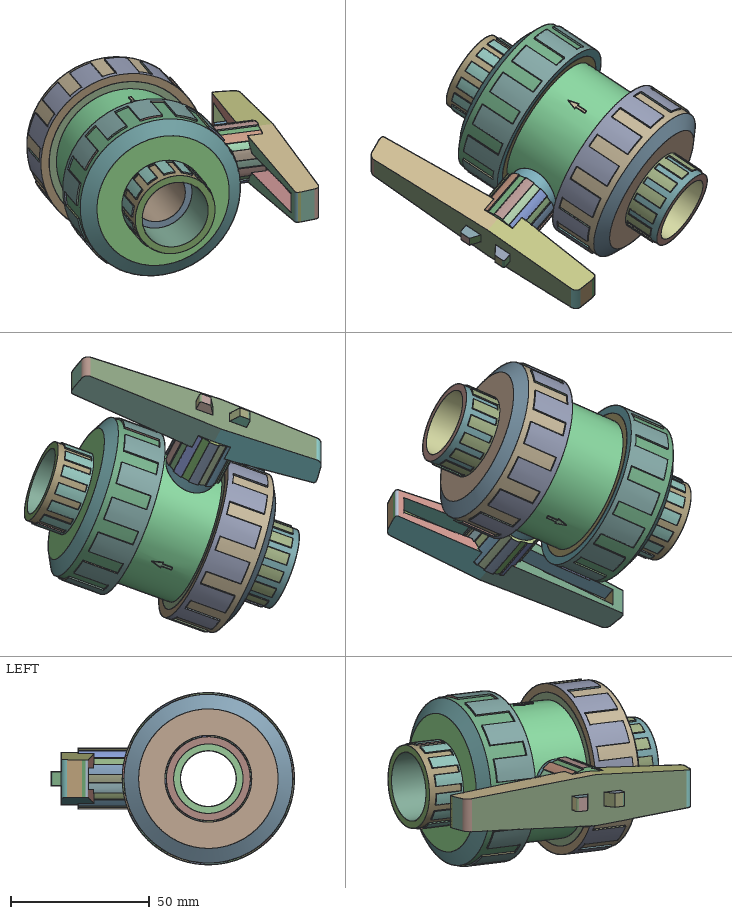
import cadquery as cq
import math


overall_length = 102.5
overall_depth = 87.6

bore_diameter = 20.0
socket_diameter = 25.0
socket_depth = 18.5

half_length = 47.5
pipe_diameter = 30.2
pipe_rib_diameter = 31.3
pipe_rib_outer = 44.8
pipe_rib_inner = 34.4

barrel_diameter = 50.2
barrel_flange_diameter = 55.8
flange_recess = 0.1
nut_diameter = 60.8
nut_rib_diameter = 62.0
nut_outer = 33.7
nut_chamfer_end = 30.5
nut_rib_outer = 28.1
nut_rib_inner = 14.5
nut_inner = 12.4

end_groove_count = 14
end_groove_angle = 9.8
end_groove_edge = 180.0
rib_sink = 0.5
rim_margin = 1.0

arrow_length = 8.0
arrow_head_length = 4.0
arrow_head_width = 2.5
arrow_shaft_width = 1.0
arrow_height = 0.4

stem_diameter = 19.0
stem_root = 22.0
hub_diameter = 22.0
hub_root_diameter = 20.9
hub_bottom = 28.1
hub_top = 46.8
flute_count = 10
flute_angle = 16.0

handle_top = 53.0
handle_bottom = 41.2
handle_tip_bottom = 43.3
handle_widest_bottom = 45.3
handle_left = 41.2
handle_right = overall_length - half_length
handle_end_lean = 1.4
handle_flat_half_length = 8.2
handle_middle_half_width = 9.4
handle_taper = 0.065
handle_top_radius = 2.7
handle_tip_radius = 0.9

pocket_width = 7.7
pocket_left = 38.1
pocket_right = 50.1
pocket_floor = 48.5

lug_top = overall_depth - nut_rib_diameter / 2
lug_outer = 9.9
lug_inner_top = 5.7
lug_inner_bottom = 3.3
lug_width = 5.1
lug_corner_radius = 0.8


def x_cylinder(diameter, start, end):
    """Cylinder about the X axis between two X positions."""
    return cq.Workplane("YZ", origin=(start, 0, 0)).circle(diameter / 2).extrude(end - start)


def y_cylinder(diameter, start, end):
    """Cylinder about the Y axis between two Y positions."""
    return cq.Workplane("XZ", origin=(0, start, 0)).circle(diameter / 2).extrude(start - end)


def polar(radius, degrees):
    angle = math.radians(degrees)
    return (radius * math.cos(angle), radius * math.sin(angle))


def grooved_disc(plane, thickness, root_diameter, rim_diameter, count, first_angle, groove_width):
    """Disc with evenly spaced axial grooves in its rim; angles are in degrees."""
    root = root_diameter / 2
    rim = rim_diameter / 2
    pitch = 360 / count
    outline = plane.moveTo(*polar(rim, first_angle))
    for index in range(count):
        start = first_angle + index * pitch
        end = start + groove_width
        next_start = start + pitch
        outline = (
            outline.lineTo(*polar(root, start))
            .threePointArc(polar(root, (start + end) / 2), polar(root, end))
            .lineTo(*polar(rim, end))
            .threePointArc(polar(rim, (end + next_start) / 2), polar(rim, next_start))
        )
    return outline.close().extrude(thickness)


def make_rib_collar(core_diameter, rib_diameter, outer, groove_inner, inner):
    """Collar on the -X side, ribbed from outer to groove_inner and plain from there to inner.

    The groove floors lie below the core surface, which covers them once the two are joined.
    """
    grooves = x_cylinder(rib_diameter + rim_margin, -outer, -groove_inner).cut(
        grooved_disc(
            cq.Workplane("YZ", origin=(-outer, 0, 0)),
            outer - groove_inner,
            core_diameter - 2 * rib_sink,
            rib_diameter + 2 * rim_margin,
            end_groove_count,
            end_groove_edge - end_groove_angle,
            end_groove_angle,
        )
    )
    return x_cylinder(rib_diameter, -outer, -inner).cut(grooves)


def make_pipe():
    """Ribbed pipe end on the -X side, reaching into the barrel."""
    pipe = x_cylinder(pipe_diameter, -half_length, -nut_chamfer_end)
    collar = make_rib_collar(
        pipe_diameter, pipe_rib_diameter, pipe_rib_outer, pipe_rib_inner, nut_chamfer_end
    )
    return pipe.union(collar)


def make_nut():
    """Ribbed union nut on the -X side, coned at its outer end and recessed at its mouth."""
    nut = x_cylinder(nut_diameter, -nut_outer, -nut_inner)
    cone_depth = (nut_diameter - barrel_diameter) / 2
    nut = nut.faces("<X").chamfer(nut_outer - nut_chamfer_end, cone_depth)
    collar = make_rib_collar(
        nut_diameter, nut_rib_diameter, nut_rib_outer, nut_rib_inner, nut_inner
    )
    recess = x_cylinder(barrel_flange_diameter, -nut_inner - flange_recess, -nut_inner)
    return nut.union(collar).cut(recess)


def make_end():
    """The -X pipe end and its union nut, without the bore."""
    return make_nut().union(make_pipe())


def make_arrows():
    """Arrows pointing to +X on the +Z and -Z sides of the barrel, following its curve."""
    tail = -arrow_length / 2
    tip = arrow_length / 2
    neck = tip - arrow_head_length
    outline = [
        (tail, -arrow_shaft_width / 2),
        (neck, -arrow_shaft_width / 2),
        (neck, -arrow_head_width / 2),
        (tip, 0),
        (neck, arrow_head_width / 2),
        (neck, arrow_shaft_width / 2),
        (tail, arrow_shaft_width / 2),
    ]
    prism = cq.Workplane("XY").polyline(outline).close().extrude(barrel_diameter, both=True)
    outer = x_cylinder(barrel_diameter + 2 * arrow_height, tail, tip)
    inner = x_cylinder(barrel_diameter - 2 * arrow_height, tail, tip)
    return prism.intersect(outer.cut(inner))


def make_hub():
    """Stem rooted in the barrel wall, and the fluted hub above it with a flute facing +X."""
    stem = y_cylinder(stem_diameter, stem_root, hub_bottom)
    hub = grooved_disc(
        cq.Workplane("XZ", origin=(0, hub_bottom, 0)),
        hub_bottom - hub_top,
        hub_root_diameter,
        hub_diameter,
        flute_count,
        -flute_angle / 2,
        flute_angle,
    )
    return stem.union(hub)


def make_handle():
    """Handle bar: side outline cut to a plan that narrows from the middle to both ends."""
    left = -handle_left
    right = handle_right
    side = [
        (left + handle_end_lean, handle_top),
        (left, handle_widest_bottom),
        (left, handle_tip_bottom),
        (-handle_flat_half_length, handle_bottom),
        (handle_flat_half_length, handle_bottom),
        (right, handle_tip_bottom),
        (right, handle_widest_bottom),
        (right - handle_end_lean, handle_top),
    ]
    bar = cq.Workplane("XY").polyline(side).close().extrude(handle_middle_half_width, both=True)
    bar = bar.edges("|Z").edges(">Y").fillet(handle_top_radius)
    left_tip = cq.selectors.NearestToPointSelector((left, handle_tip_bottom, 0))
    right_tip = cq.selectors.NearestToPointSelector((right, handle_tip_bottom, 0))
    bar = bar.edges(left_tip + right_tip).fillet(handle_tip_radius)

    left_half_width = handle_middle_half_width - handle_taper * handle_left
    right_half_width = handle_middle_half_width - handle_taper * handle_right
    plan = [
        (left, left_half_width),
        (0, handle_middle_half_width),
        (right, right_half_width),
        (right, -right_half_width),
        (0, -handle_middle_half_width),
        (left, -left_half_width),
    ]
    plan_prism = cq.Workplane("XZ").polyline(plan).close().extrude(-lug_top)
    return bar.intersect(plan_prism).cut(make_pocket())


def make_pocket():
    """Pocket open at the underside, leaving a solid core where the hub joins."""
    pocket = cq.Workplane("XY").box(
        pocket_left + pocket_right,
        pocket_floor - hub_bottom,
        pocket_width,
        centered=(False, False, True),
    )
    pocket = pocket.translate((-pocket_left, hub_bottom, 0))
    return pocket.cut(y_cylinder(hub_root_diameter, hub_bottom, pocket_floor))


def make_lugs():
    """Two lugs facing each other with sloping inner sides."""
    side = [
        (lug_inner_bottom, handle_top),
        (lug_outer, handle_top),
        (lug_outer, lug_top),
        (lug_inner_top, lug_top),
    ]
    lug = cq.Workplane("XY").polyline(side).close().extrude(lug_width / 2, both=True)
    lug = lug.edges(">X and >Y").fillet(lug_corner_radius)
    return lug.union(lug.mirror("YZ"))


def make_passage():
    """Through bore with a wider socket at each end."""
    passage = x_cylinder(bore_diameter, -half_length, half_length)
    for side in (-1, 1):
        socket = x_cylinder(socket_diameter, side * half_length, side * (half_length - socket_depth))
        passage = passage.union(socket)
    return passage


end = make_end()
barrel = x_cylinder(barrel_diameter, -nut_chamfer_end, nut_chamfer_end)
body = barrel.union(end).union(end.rotate((0, 0, 0), (0, 0, 1), 180))
body = body.union(make_hub()).union(make_handle()).union(make_lugs()).union(make_arrows())
result = body.cut(make_passage())